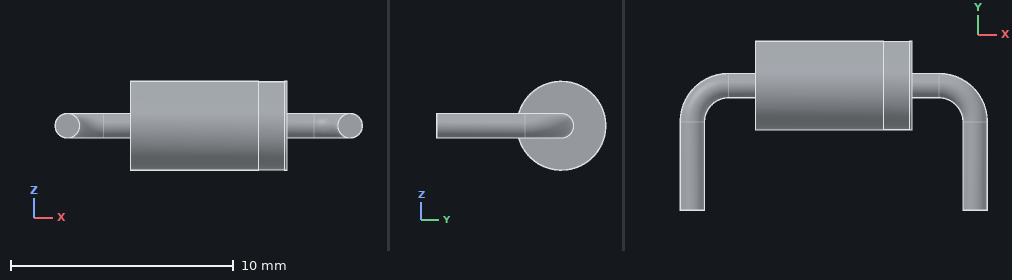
import cadquery as cq

span = 13.79
body_length = 7.03
body_diameter = 4.0
rim_length = 0.12
band_length = 1.16
band_diameter = 3.97
lead_diameter = 1.1
bend_radius = 1.63
leg_reach = 5.6

leg_x = (span - lead_diameter) / 2
bend_start_x = leg_x - bend_radius
half_body = body_length / 2


def make_body():
    """Revolve the half profile of the cylinder with its recessed band and end rim."""
    body_radius = body_diameter / 2
    band_radius = band_diameter / 2
    band_end_x = half_body - rim_length
    band_start_x = band_end_x - band_length
    profile = (
        cq.Workplane("XY")
        .moveTo(-half_body, 0)
        .lineTo(-half_body, body_radius)
        .lineTo(band_start_x, body_radius)
        .lineTo(band_start_x, band_radius)
        .lineTo(band_end_x, band_radius)
        .lineTo(band_end_x, body_radius)
        .lineTo(half_body, body_radius)
        .lineTo(half_body, 0)
        .close()
    )
    return profile.revolve(360, (0, 0, 0), (1, 0, 0))


def make_lead():
    """Sweep the +X lead: out along the axis, round the bend, then toward -Y."""
    path = (
        cq.Workplane("XY")
        .lineTo(bend_start_x, 0)
        .tangentArcPoint((leg_x, -bend_radius), relative=False)
        .lineTo(leg_x, -leg_reach)
    )
    return cq.Workplane("YZ").circle(lead_diameter / 2).sweep(path)


lead = make_lead()
result = make_body().union(lead).union(lead.mirror("YZ"))